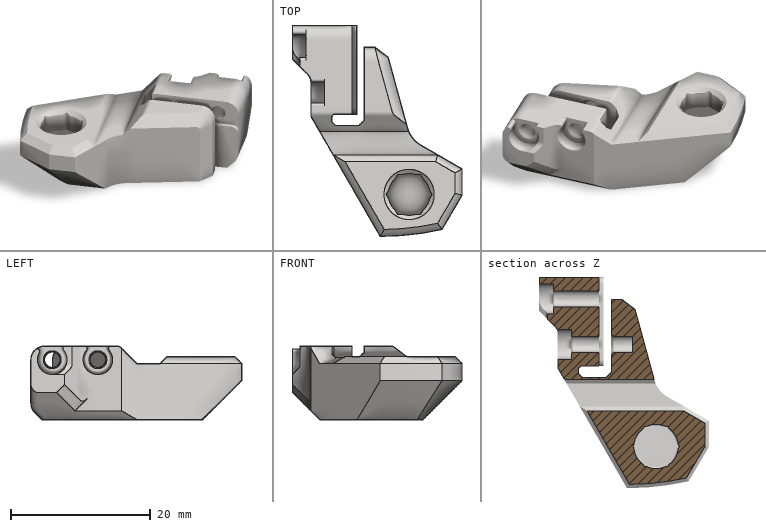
import cadquery as cq
import math

total_height = 10.6
plate_top = 8.1
length_y = 30.32
width_x = 24.38
margin = 3.03
slack = 0.3

clamp_wall_x = 2.65
boss_corner_y = 25.47
boss_blend = 1.52
tip_x = 12.6
left_slope = math.radians(60)
knee_y = (tip_x - clamp_wall_x) * math.tan(left_slope)
nose_x, nose_y = 21.5, 1.0
side_low_y, side_high_y = 5.9, 9.7
finger_end_y = 27.2
finger_corner_x = 13.37
finger_lean = math.radians(15.3)
head_slope = math.radians(30)
neck_blend = 4.0

ramp_foot_y = 15.07
ramp_blend = 0.9
end_round = 2.0
end_bevel = 1.6

head_bevel = 5.65
clamp_bevel = 3.95
boss_bevel_level = 30.53
boss_edge_round = 1.0

pad_start_y = 11.73
pad_height = 1.0
pad_root = 0.3

slot_left, slot_right = 9.25, 10.3
slot_foot_x = 5.67
slot_low_y, slot_high_y = 15.95, 17.55
slot_corner = 0.75
slot_foot_corner = 0.52
slot_foot_top_corner = 0.27

lip_x = 8.58
lip_top = 6.97
lip_round = 1.0

finger_bevel = 1.52

screw_z = 8.65
screw_y = (27.23, 20.68)
seat_x = (0.0, clamp_wall_x)
screw_d = 2.2
screw_rim = 0.18
finger_rim = 0.4
bore_d = 4.25
bore_depth = 1.97
bore_lip_round = 0.35
hole_end_x = (slot_right, 13.35)
relief_depth = 1.1
relief_round = 1.0

nut_x, nut_y = 16.77, 6.03
nut_corner_d = 6.6
nut_round_d = 6.0
nut_rim_d = 7.22
nut_depth = 3.18


def slanted_x(y):
    """X of the slanted finger wall at y."""
    return finger_corner_x + (finger_end_y - y) * math.tan(finger_lean)


def head_edge_y(x):
    """Y of the upper head wall at x."""
    return side_high_y + (width_x - x) * math.tan(head_slope)


def left_edge_x(y):
    """X of the long left wall at y."""
    return tip_x - y / math.tan(left_slope)


def around(low, high):
    """Selector for edges centred in the box between two points, grown by the slack."""
    return cq.selectors.BoxSelector(
        tuple(value - slack for value in low),
        tuple(value + slack for value in high),
    )


tip_radius = ((nose_x - tip_x) ** 2 + nose_y ** 2) / (2 * nose_y)
half_angle = math.asin((nose_x - tip_x) / tip_radius) / 2
tip_arc_mid = (
    tip_x + tip_radius * math.sin(half_angle),
    tip_radius * (1 - math.cos(half_angle)),
)

neck_x = (
    slanted_x(0) - (side_high_y + width_x * math.tan(head_slope)) * math.tan(finger_lean)
) / (1 - math.tan(head_slope) * math.tan(finger_lean))
neck_y = head_edge_y(neck_x)


def make_plan():
    """Full-height block with the outline of the part, slot still filled."""
    plan = (
        cq.Workplane("XY")
        .moveTo(tip_x, 0)
        .threePointArc(tip_arc_mid, (nose_x, nose_y))
        .lineTo(width_x, side_low_y)
        .lineTo(width_x, side_high_y)
        .lineTo(neck_x, neck_y)
        .lineTo(finger_corner_x, finger_end_y)
        .lineTo(slot_left, finger_end_y)
        .lineTo(slot_left, length_y)
        .lineTo(0, length_y)
        .lineTo(0, boss_corner_y)
        .lineTo(clamp_wall_x, boss_corner_y - clamp_wall_x)
        .lineTo(clamp_wall_x, knee_y)
        .close()
        .extrude(total_height)
    )
    for x, y, radius in (
        (neck_x, neck_y, neck_blend),
        (clamp_wall_x, boss_corner_y - clamp_wall_x, boss_blend),
    ):
        corner = around((x, y, 0), (x, y, total_height))
        plan = plan.edges("|Z").edges(corner).fillet(radius)
    return plan


def bevel_head_underside(body):
    """Wide bevel under the arc, the corner wall and the outer wall of the head."""
    walls = around((tip_x, 0, 0), (width_x, side_high_y, 0))
    return body.faces("<Z").edges(walls).chamfer(head_bevel)


def make_side_profile():
    """Height profile: low plate, ramp up to the clamp, rounded far end."""
    ramp_top_y = ramp_foot_y + total_height - plate_top
    profile = (
        cq.Workplane("YZ")
        .polyline([
            (0, 0),
            (length_y - end_bevel, 0),
            (length_y, end_bevel),
            (length_y, total_height),
            (ramp_top_y, total_height),
            (ramp_foot_y, plate_top),
            (0, plate_top),
        ])
        .close()
        .extrude(width_x)
    )
    for y, z, radius in (
        (length_y, end_bevel, end_round),
        (length_y, total_height, end_round),
        (ramp_top_y, total_height, ramp_blend),
    ):
        corner = around((0, y, z), (width_x, y, z))
        profile = profile.edges("|X").edges(corner).fillet(radius)
    return profile


def make_clamp_bevel():
    """45 degree bevel along the lower left edge of the clamp."""
    return (
        cq.Workplane("XZ", origin=(0, length_y + margin, 0))
        .polyline([(-margin, -margin), (clamp_bevel + margin, -margin), (-margin, clamp_bevel + margin)])
        .close()
        .extrude(length_y + 2 * margin)
    )


def make_boss_bevel():
    """Space under the sloping lower bevel of the boss, left of the clamp wall."""
    below = cq.Workplane(cq.Plane((0, boss_bevel_level, 0), (0, 1, -1), (-2, -1, -1)))
    slab = below.rect(2 * boss_bevel_level, 2 * boss_bevel_level).extrude(length_y)
    reach = cq.Workplane("XY").box(clamp_wall_x, length_y, total_height, centered=False)
    return slab.intersect(reach)


def make_pad():
    """Raised head surface with a bevel all the way round."""
    return (
        cq.Workplane("XY", origin=(0, 0, plate_top - pad_root))
        .moveTo(tip_x, 0)
        .threePointArc(tip_arc_mid, (nose_x, nose_y))
        .lineTo(width_x, side_low_y)
        .lineTo(width_x, side_high_y)
        .lineTo(width_x - (pad_start_y - side_high_y) / math.tan(head_slope), pad_start_y)
        .lineTo(left_edge_x(pad_start_y), pad_start_y)
        .close()
        .extrude(pad_root + pad_height)
        .faces(">Z")
        .edges()
        .chamfer(pad_height)
    )


def make_slot():
    """L-shaped slot that frees the clamp from the finger."""
    return (
        cq.Workplane("XY")
        .polyline([
            (slot_foot_x + slot_foot_corner, slot_low_y),
            (slot_right - slot_corner, slot_low_y),
            (slot_right, slot_low_y + slot_corner),
            (slot_right, length_y),
            (slot_left, length_y),
            (slot_left, slot_high_y),
            (slot_foot_x + slot_foot_top_corner, slot_high_y),
            (slot_foot_x, slot_high_y - slot_foot_top_corner),
            (slot_foot_x, slot_low_y + slot_foot_corner),
        ])
        .close()
        .extrude(total_height)
    )


def shape_finger(body):
    """Round the finger's top end, then bevel its outer rim all the way round that end."""
    end_edge = around(
        (slot_left, finger_end_y, total_height),
        (finger_corner_x, finger_end_y, total_height),
    )
    body = body.edges("|X").edges(end_edge).fillet(end_round)
    outer_rim = around(
        (finger_corner_x, ramp_foot_y, total_height),
        (neck_x, finger_end_y - end_round, total_height),
    )
    return body.edges(outer_rim).chamfer(finger_bevel)


def make_lip_cut():
    """Space above the lip, leaving the lip with rounded top ends."""
    lip_width = slot_left - lip_x
    lip_length = length_y - slot_high_y
    lip = (
        cq.Workplane("XY")
        .box(lip_width, lip_length, lip_top, centered=False)
        .edges("|X and >Z")
        .fillet(lip_round)
    )
    space = cq.Workplane("XY").box(lip_width, lip_length, total_height, centered=False)
    return space.cut(lip).translate((lip_x, slot_high_y, 0))


def rod(x_start, x_end, y, diameter):
    return (
        cq.Workplane("YZ", origin=(x_start, y, screw_z))
        .circle(diameter / 2)
        .extrude(x_end - x_start)
    )


def countersink(x, y, rim):
    """Chamfer of a screw hole that opens on a wall at x facing -X."""
    return (
        cq.Workplane("YZ", origin=(x, y, screw_z))
        .circle(screw_d / 2 + rim)
        .workplane(offset=rim)
        .circle(screw_d / 2)
        .loft()
    )


def point_towards(start, target, distance):
    """Point at a distance from start on the line towards target."""
    scale = distance / math.dist(start, target)
    return tuple(p + (q - p) * scale for p, q in zip(start, target))


def lip_under_flat_top(bore, side):
    """Centre of a lip rounding under the flat top and the point where it meets the top."""
    rise = total_height - bore_lip_round - bore[1]
    reach = math.sqrt((bore_d / 2 + bore_lip_round) ** 2 - rise ** 2)
    center_y = bore[0] + side * reach
    return (center_y, total_height - bore_lip_round), (center_y, total_height)


def lip_under_end_round(bore):
    """The same for the lip under the rounded end of the clamp."""
    end_center = (length_y - end_round, total_height - end_round)
    spacing = math.dist(bore, end_center)
    from_bore = bore_d / 2 + bore_lip_round
    from_end = end_round - bore_lip_round
    along = (from_bore ** 2 - from_end ** 2 + spacing ** 2) / (2 * spacing)
    across = math.sqrt(from_bore ** 2 - along ** 2)
    unit_y, unit_z = ((q - p) / spacing for p, q in zip(bore, end_center))
    center = (
        bore[0] + along * unit_y - across * unit_z,
        bore[1] + along * unit_z + across * unit_y,
    )
    return center, point_towards(end_center, center, end_round)


def make_counterbore(y, wall_x, back_lip):
    """Open-topped counterbore with rounded lips; its floor faces -X."""
    bore = (y, screw_z)
    front_lip = lip_under_flat_top(bore, -1)
    lips = []
    for center, rim in (front_lip, back_lip):
        neck = point_towards(bore, center, bore_d / 2)
        corner = tuple(p + q - c for p, q, c in zip(neck, rim, center))
        middle = point_towards(center, corner, bore_lip_round)
        lips.append((neck, middle, rim))
    (front_neck, front_mid, front_rim), (back_neck, back_mid, back_rim) = lips
    return (
        cq.Workplane("YZ", origin=(wall_x - margin, 0, 0))
        .moveTo(*front_rim)
        .threePointArc(front_mid, front_neck)
        .threePointArc((y, screw_z - bore_d / 2), back_neck)
        .threePointArc(back_mid, back_rim)
        .lineTo(back_rim[0], total_height + margin)
        .lineTo(front_rim[0], total_height + margin)
        .close()
        .extrude(margin + bore_depth)
    )


def cut_screw_holes(body):
    """Two counterbored holes along X with chamfered edges."""
    back_lips = (
        lip_under_end_round((screw_y[0], screw_z)),
        lip_under_flat_top((screw_y[1], screw_z), 1),
    )
    for y, wall_x, back_lip in zip(screw_y, seat_x, back_lips):
        body = body.cut(make_counterbore(y, wall_x, back_lip))
    for y, wall_x, end_x in zip(screw_y, seat_x, hole_end_x):
        floor_x = wall_x + bore_depth
        body = body.cut(rod(floor_x, end_x, y, screw_d))
        body = body.cut(countersink(floor_x, y, screw_rim))
    return body.cut(countersink(slot_right, screw_y[1], finger_rim))


def make_relief():
    """Clearance beside the upper counterbore, with a ramped floor."""
    floor_z = screw_z - bore_d / 2
    relief = (
        cq.Workplane("XZ", origin=(0, screw_y[0], 0))
        .polyline([
            (-margin, floor_z - margin),
            (relief_depth, floor_z + relief_depth),
            (relief_depth, total_height + margin),
            (-margin, total_height + margin),
        ])
        .close()
        .extrude(screw_y[0] - screw_y[1])
    )
    bend_z = floor_z + relief_depth
    bend = around((relief_depth, 0, bend_z), (relief_depth, length_y, bend_z))
    return relief.edges("|Y").edges(bend).fillet(relief_round)


def make_nut_pocket():
    """Blind pocket: hexagon corners around a round bore, with a chamfered mouth."""
    pad_top = plate_top + pad_height
    rim_depth = (nut_rim_d - nut_round_d) / 2
    at_floor = cq.Workplane("XY", origin=(nut_x, nut_y, pad_top - nut_depth))
    hexagon = at_floor.polygon(6, nut_corner_d).extrude(nut_depth)
    bore = at_floor.circle(nut_round_d / 2).extrude(nut_depth)
    rim = (
        cq.Workplane("XY", origin=(nut_x, nut_y, pad_top))
        .circle(nut_rim_d / 2)
        .workplane(offset=-rim_depth)
        .circle(nut_round_d / 2)
        .loft()
    )
    return hexagon.union(bore).union(rim)


body = bevel_head_underside(make_plan())
body = shape_finger(body)
body = body.intersect(make_side_profile())
body = body.cut(make_clamp_bevel())
back_edge = around((0, length_y, end_bevel), (clamp_bevel, length_y, clamp_bevel))
body = body.edges(back_edge).fillet(boss_edge_round)
body = body.cut(make_boss_bevel())
body = body.cut(make_slot())
body = cut_screw_holes(body)
body = body.cut(make_relief())
body = body.cut(make_lip_cut())
body = body.union(make_pad())
result = body.cut(make_nut_pocket())